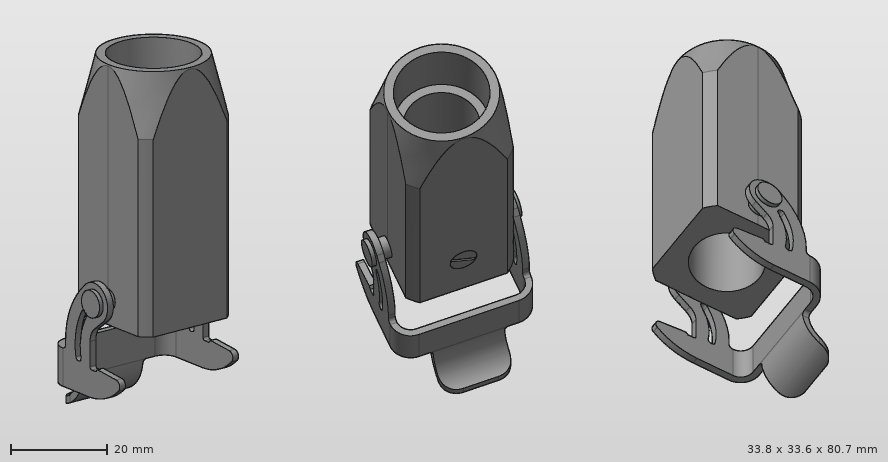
import cadquery as cq
import math


housing_width = 24.2
housing_depth = 24.2
ridge_height = 0.1
housing_height = 57.0
corner_radius = 15.6
cone_base_z = 43.3
cone_top_radius = 12.0
bore_diameter = 16.0
counterbore_diameter = 20.0
counterbore_depth = 12.3

screw_z = 10.7
screw_head_diameter = 5.9
screw_recess_diameter = 6.0
screw_recess_depth = 2.0
screw_shank_diameter = 3.0
screw_tip_x = -6.1
screw_slot_width = 0.65
screw_slot_depth = 0.4
screw_slot_angle = 22.0

pivot_z = 5.5
pin_diameter = 4.8
pin_head_diameter = 6.0
pin_head_height = 1.0

sheet = 1.5
lever_width = 31.6
lever_back_x = -15.0
bend_radius = 4.6
strap_top_z = -7.1
strap_bottom_z = -15.5

eye_radius = 4.45
arm_centre_x = 8.2
arm_centre_z = -5.1
arm_outer_radius = 17.8
arm_tangent_angle = 135.0
arm_inner_x = -1.4
arm_root_fillet = 1.0
inner_edge_angle = 51.0
inner_bend_fillet = 4.0
slot_radius = 13.7
slot_width = 1.7
slot_top_angle = 148.0
slot_bottom_angle = 191.0

notch_floor_z = -9.4
notch_fillet = 0.6
notch_end_x = 0.5
hook_start_x = 1.05
hook_start_z = -8.8
hook_tip_x = 8.5
hook_tip_radius = 1.3
hook_slope = 6.0
belly_start_x = -1.6
belly_radius = 14.05

tab_width = 16.0
tab_outer_radius = 8.2
tab_corner_radius = 4.0
tab_root_fillet = 1.0

screw_face_x = -housing_width / 2
pin_start_y = housing_depth / 2 - ridge_height
lever_side = lever_width / 2
belly_centre_z = strap_bottom_z + belly_radius


def polar(centre_x, centre_z, radius, angle):
    """Point at an angle in degrees, counted from +X towards +Z."""
    turn = math.radians(angle)
    return (centre_x + radius * math.cos(turn), centre_z + radius * math.sin(turn))


def along_y(diameter, start, end):
    """Round bar on the pivot axis, between two places along Y."""
    return (
        cq.Workplane("XZ", origin=(0, start, pivot_z))
        .circle(diameter / 2)
        .extrude(start - end)
    )


def along_x(diameter, start, end):
    """Round bar on the screw axis, between two places along X."""
    return (
        cq.Workplane("YZ", origin=(start, 0, screw_z))
        .circle(diameter / 2)
        .extrude(end - start)
    )


def make_shell():
    """Square sleeve with its corners turned round and coned off at the top."""
    side_x = housing_width / 2
    ridge_y = housing_depth / 2
    side_y = ridge_y - ridge_height
    outline = [
        (-side_x, -side_y),
        (0, -ridge_y),
        (side_x, -side_y),
        (side_x, side_y),
        (0, ridge_y),
        (-side_x, side_y),
    ]
    block = cq.Workplane("XY").polyline(outline).close().extrude(housing_height)
    turned = (
        cq.Workplane("XZ")
        .moveTo(0, 0)
        .lineTo(corner_radius, 0)
        .lineTo(corner_radius, cone_base_z)
        .lineTo(cone_top_radius, housing_height)
        .lineTo(0, housing_height)
        .close()
        .revolve(360, (0, 0), (0, 1))
    )
    return (
        block.intersect(turned)
        .faces(">Z")
        .workplane()
        .cboreHole(bore_diameter, counterbore_diameter, counterbore_depth)
    )


def add_screw(shell):
    """Slotted screw, flush with the wall, whose tip stands out into the bore."""
    recess_floor = screw_face_x + screw_recess_depth
    slot = (
        cq.Workplane("XY")
        .box(2 * screw_slot_depth, screw_head_diameter, screw_slot_width)
        .rotate((0, 0, 0), (1, 0, 0), screw_slot_angle)
        .translate((screw_face_x, 0, screw_z))
    )
    head = along_x(screw_head_diameter, screw_face_x, recess_floor).cut(slot)
    shank = along_x(screw_shank_diameter, recess_floor, screw_tip_x)
    return shell.cut(along_x(screw_recess_diameter, screw_face_x, recess_floor)).union(head).union(shank)


def make_housing():
    housing = add_screw(make_shell())
    for side in (-1, 1):
        shank = along_y(pin_diameter, side * pin_start_y, side * lever_side)
        head = along_y(pin_head_diameter, side * lever_side, side * (lever_side + pin_head_height))
        housing = housing.union(shank).union(head)
    return housing


def round_corner(body, x, z, radius):
    """Round the edge that runs along Y through the point (x, z)."""
    reach = 0.1
    corner = cq.selectors.BoxSelector(
        (x - reach, -lever_width, z - reach), (x + reach, lever_width, z + reach)
    )
    return body.edges(corner).fillet(radius)


def make_side_block():
    """Side outline of strap, arm and hook, as a block over the lever's whole width."""
    arm_outer_x = arm_centre_x - arm_outer_radius
    eye_left = polar(0, pivot_z, eye_radius, arm_tangent_angle)
    eye_right = polar(0, pivot_z, eye_radius, -inner_edge_angle)
    eye_middle = polar(0, pivot_z, eye_radius, (arm_tangent_angle - inner_edge_angle) / 2)
    arm_top = polar(arm_centre_x, arm_centre_z, arm_outer_radius, arm_tangent_angle)
    arm_middle = polar(arm_centre_x, arm_centre_z, arm_outer_radius, (arm_tangent_angle + 180) / 2)

    tangent_drop = (eye_right[0] - arm_inner_x) / math.tan(math.radians(inner_edge_angle))
    inner_bend_z = eye_right[1] - tangent_drop

    tip_x = hook_tip_x - hook_tip_radius
    belly_to_tip = belly_radius - hook_tip_radius
    tip_angle = -math.degrees(math.acos((tip_x - belly_start_x) / belly_to_tip))
    tip_z = belly_centre_z + belly_to_tip * math.sin(math.radians(tip_angle))

    outline = (
        cq.Workplane("XZ", origin=(0, lever_side, 0))
        .moveTo(lever_back_x, strap_bottom_z)
        .lineTo(lever_back_x, strap_top_z)
        .lineTo(arm_outer_x, strap_top_z)
        .lineTo(arm_outer_x, arm_centre_z)
        .threePointArc(arm_middle, arm_top)
        .lineTo(*eye_left)
        .threePointArc(eye_middle, eye_right)
        .lineTo(arm_inner_x, inner_bend_z)
        .lineTo(arm_inner_x, notch_floor_z)
        .lineTo(notch_end_x, notch_floor_z)
        .lineTo(hook_start_x, hook_start_z)
        .lineTo(*polar(tip_x, tip_z, hook_tip_radius, 90 - hook_slope))
        .threePointArc(
            (hook_tip_x, tip_z), polar(tip_x, tip_z, hook_tip_radius, tip_angle)
        )
        .threePointArc(
            polar(belly_start_x, belly_centre_z, belly_radius, (tip_angle - 90) / 2),
            (belly_start_x, strap_bottom_z),
        )
        .close()
    )
    block = outline.extrude(lever_width)
    block = round_corner(block, arm_outer_x, strap_top_z, arm_root_fillet)
    block = round_corner(block, arm_inner_x, inner_bend_z, inner_bend_fillet)
    return round_corner(block, arm_inner_x, notch_floor_z, notch_fillet)


def make_arm_slot():
    """Curved slot through both arms."""
    outer = slot_radius + slot_width / 2
    inner = slot_radius - slot_width / 2
    middle_angle = (slot_top_angle + slot_bottom_angle) / 2

    def at(radius, angle):
        return polar(arm_centre_x, arm_centre_z, radius, angle)

    end_turn = math.degrees(slot_width / 2 / slot_radius)
    return (
        cq.Workplane("XZ", origin=(0, lever_side, 0))
        .moveTo(*at(outer, slot_bottom_angle))
        .threePointArc(at(outer, middle_angle), at(outer, slot_top_angle))
        .threePointArc(at(slot_radius, slot_top_angle - end_turn), at(inner, slot_top_angle))
        .threePointArc(at(inner, middle_angle), at(inner, slot_bottom_angle))
        .threePointArc(at(slot_radius, slot_bottom_angle + end_turn), at(outer, slot_bottom_angle))
        .close()
        .extrude(lever_width)
    )


def make_bent_sheet():
    """Sheet metal bent to a U around the bore axis, as tall as the lever."""
    bottom = strap_bottom_z
    height = pivot_z + eye_radius - bottom
    length = hook_tip_x - lever_back_x
    outside = (
        cq.Workplane("XY", origin=(lever_back_x + length / 2, 0, bottom))
        .rect(length, lever_width)
        .extrude(height)
        .edges("|Z and <X")
        .fillet(bend_radius)
    )
    inside = (
        cq.Workplane("XY", origin=(lever_back_x + sheet + length / 2, 0, bottom))
        .rect(length, lever_width - 2 * sheet)
        .extrude(height)
        .edges("|Z and <X")
        .fillet(bend_radius - sheet)
    )
    return outside.cut(inside)


def make_thumb_tab():
    """Tab that curls outwards in a quarter turn from the strap's lower edge."""
    curl_z = strap_bottom_z
    front_x = lever_back_x + sheet
    curl_x = front_x - tab_outer_radius
    inner_radius = tab_outer_radius - sheet
    curl = (
        cq.Workplane("XZ", origin=(0, lever_side, 0))
        .moveTo(lever_back_x, curl_z)
        .lineTo(front_x, curl_z)
        .threePointArc(
            polar(curl_x, curl_z, tab_outer_radius, -45), (curl_x, curl_z - tab_outer_radius)
        )
        .lineTo(curl_x, curl_z - inner_radius)
        .threePointArc(polar(curl_x, curl_z, inner_radius, -45), (lever_back_x, curl_z))
        .close()
        .extrude(lever_width)
    )
    plan = (
        cq.Workplane("XY", origin=(curl_x + tab_outer_radius / 2, 0, curl_z))
        .rect(tab_outer_radius, tab_width)
        .extrude(-tab_outer_radius)
        .edges("|Z and <X")
        .fillet(tab_corner_radius)
    )
    root_side = tab_width / 2
    root_end = root_side + tab_root_fillet
    round_z = curl_z - tab_root_fillet
    root = (
        cq.Workplane("YZ", origin=(curl_x, 0, 0))
        .moveTo(-root_end, curl_z)
        .threePointArc(polar(-root_end, round_z, tab_root_fillet, 45), (-root_side, round_z))
        .lineTo(root_side, round_z)
        .threePointArc(polar(root_end, round_z, tab_root_fillet, 135), (root_end, curl_z))
        .close()
        .extrude(tab_outer_radius)
    )
    return curl.intersect(plan.union(root))


def make_lever():
    lever = make_side_block().intersect(make_bent_sheet())
    lever = lever.cut(make_arm_slot())
    lever = lever.cut(along_y(pin_diameter, -lever_side, lever_side))
    return lever.union(make_thumb_tab())


housing = make_housing()
lever = make_lever()
result = cq.Compound.makeCompound([housing.solids().val(), lever.solids().val()])